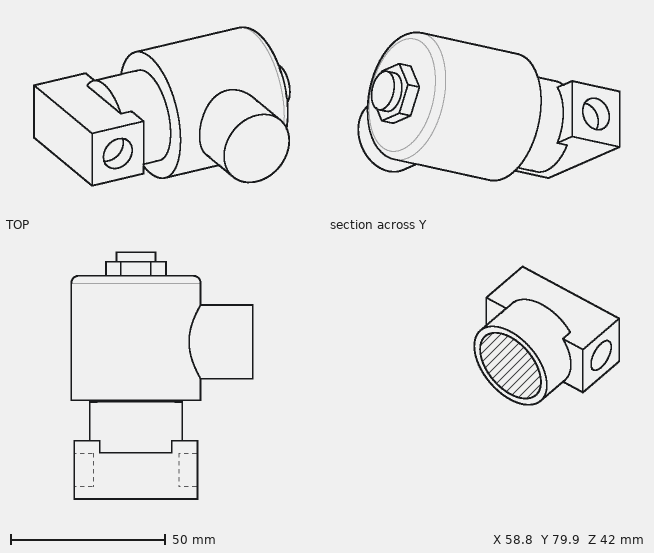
import cadquery as cq


block_length = 40.0
block_side = 18.95
neck_diameter = 30.05
neck_front = 15.0
neck_back = 31.5
port_diameter = 10.55
port_depth = 6.15
spigot_diameter = 25.25

can_diameter = 42.0
can_front = 32.0
can_back = 72.3
can_edge_radius = 2.4
conduit_diameter = 24.0
conduit_center = 50.9
overall_width = 58.8
conduit_end = overall_width - can_diameter / 2
nut_across_corners = 19.5
nut_back = 76.9
stem_diameter = 12.7
overall_length = 79.9


def plane_at(y):
    """Plane across the valve axis at the given Y, facing +Y."""
    return cq.Workplane(cq.Plane(origin=(0, y, 0), xDir=(1, 0, 0), normal=(0, 1, 0)))


def axial_cylinder(diameter, front, back):
    """Cylinder on the valve axis between two Y positions."""
    return plane_at(front).circle(diameter / 2).extrude(back - front)


def make_port(side):
    """Blind port cutter entering the block from its -X (side = -1) or +X (side = 1) end."""
    end_face = cq.Plane(
        origin=(side * block_length / 2, block_side / 2, 0),
        xDir=(0, 1, 0),
        normal=(-side, 0, 0),
    )
    return cq.Workplane(end_face).circle(port_diameter / 2).extrude(port_depth)


def make_valve_body():
    block = cq.Workplane("XY").box(block_length, block_side, block_side)
    block = block.translate((0, block_side / 2, 0))
    neck = axial_cylinder(neck_diameter, neck_front, neck_back)
    spigot = axial_cylinder(spigot_diameter, neck_back, can_front)
    body = block.union(neck).union(spigot)
    for side in (-1, 1):
        body = body.cut(make_port(side))
    return body


def make_coil_housing():
    can = axial_cylinder(can_diameter, can_front, can_back)
    can = can.faces(">Y").edges().fillet(can_edge_radius)

    conduit = (
        cq.Workplane("YZ")
        .center(conduit_center, 0)
        .circle(conduit_diameter / 2)
        .extrude(conduit_end)
    )
    nut = plane_at(can_back).polygon(6, nut_across_corners).extrude(nut_back - can_back)
    stem = axial_cylinder(stem_diameter, nut_back, overall_length)
    return can.union(conduit).union(nut).union(stem)


valve_body = make_valve_body()
coil_housing = make_coil_housing()

result = cq.Compound.makeCompound([valve_body.val(), coil_housing.val()])